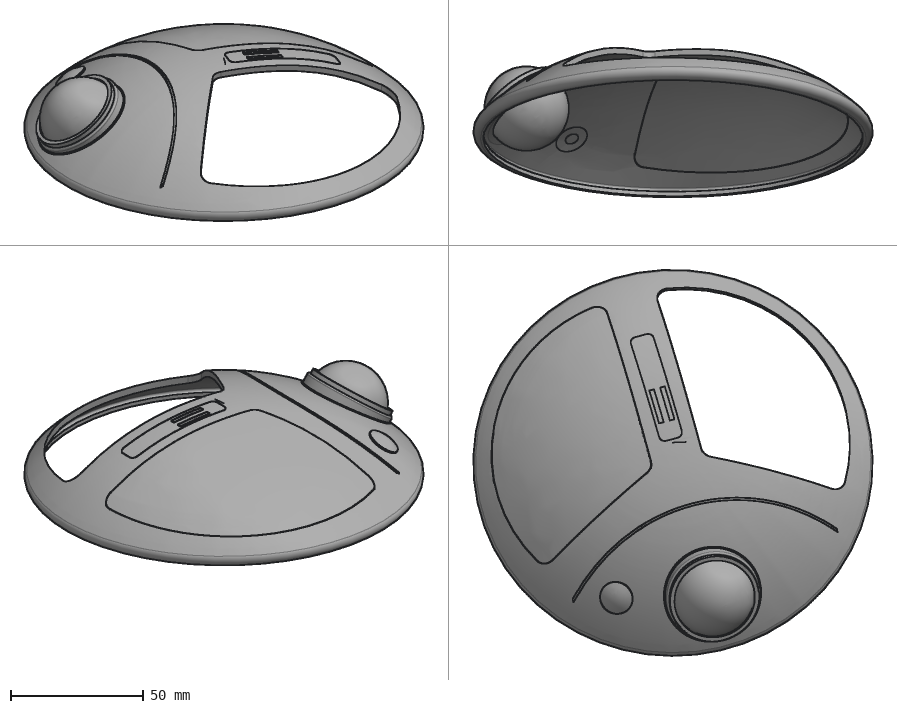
import cadquery as cq
import math

DOME_HEIGHT = 32.2
OUTER_RADIUS = 75.5
RIM_ROUND = 2.65
WALL = 2.4
CROWN_SPREAD = 5.5
MID_ANGLE = math.radians(21.5)

LIP_RADIUS = 71.8
LIP_HEIGHT = 1.8

SECTOR_RADIUS = 61.2
SECTOR_CENTER_X = 6.8
SECTOR_CENTER_Y = 3.5
SECTOR_INSET = 9.8
SECTOR_SLANT = math.radians(25)
SLANT_OFFSET = 2.7
SECTOR_FILLET = 4.5
PANEL_GAP = 0.2
SECTOR_TURN = -0.6

STRIP_WIDTH = 8.9
STRIP_START = 1.4
STRIP_END = 45.8
STRIP_FILLET = 2.3
STRIP_DEPTH = 0.2
SLOT_WIDTH = 1.8
SLOT_SPACING = 4.2
SLOT_START = 8.8
SLOT_END = 22.5
SLOT_DEPTH = 0.38

GROOVE_RADIUS = 80.0
GROOVE_X = 0.5
GROOVE_CREST = -24.3
GROOVE_WIDTH = 0.9
GROOVE_DEPTH = 0.3
GROOVE_HALF_SPAN = 51.8

BALL_RADIUS = 16.0
BALL_X = -0.3
BALL_Y = -57.0
COLLAR_TILT = math.radians(35.7)
PLINTH_RADIUS = 18.6
PLINTH_RISE = 0.3
FLANGE_RADIUS = 18.1
FLANGE_BOTTOM = -3.0
FLANGE_TOP = 3.6
FLANGE_ROUND = 0.8
COLLAR_RADIUS = 17.0
COLLAR_TOP = 5.6
BORE_RADIUS = 15.4

BUTTON_X = -35.7
BUTTON_Y = -48.6
BUTTON_RADIUS = 6.27
BUTTON_RISE = 0.5
BUTTON_CROWN = 1.7

RIM_CENTER = OUTER_RADIUS - RIM_ROUND
RIM_REACH = RIM_CENTER - CROWN_SPREAD
RIM_DROP = DOME_HEIGHT - RIM_ROUND
DOME_RADIUS = (RIM_REACH**2 + RIM_DROP**2 - RIM_ROUND**2) / (2 * (RIM_DROP - RIM_ROUND))
DOME_CENTER_Z = DOME_HEIGHT - DOME_RADIUS
RIM_ANGLE = math.atan2(RIM_REACH, RIM_ROUND - DOME_CENTER_Z)

INNER_RADIUS = DOME_RADIUS - WALL
LIP_REACH = LIP_RADIUS - CROWN_SPREAD
LIP_RISE = LIP_HEIGHT - DOME_CENTER_Z
LIP_FILLET = (INNER_RADIUS**2 - LIP_REACH**2 - LIP_RISE**2) / (2 * (LIP_RISE + INNER_RADIUS))
LIP_ANGLE = math.atan2(LIP_REACH, LIP_RISE + LIP_FILLET)


def dome_point(angle, depth):
    """Point (r, z) at a slope angle on the dome, set a depth below its outer surface."""
    radius = DOME_RADIUS - depth
    return (CROWN_SPREAD + radius * math.sin(angle), DOME_CENTER_Z + radius * math.cos(angle))


def close_under_dome(profile, end_angle, depth):
    """Run the dome curve from its foot, where the profile ends, up to the axis and revolve."""
    foot_tangent = (-math.cos(end_angle), math.sin(end_angle))
    return (
        profile.spline(
            [dome_point(MID_ANGLE, depth), (0, DOME_HEIGHT - depth)],
            tangents=[foot_tangent, (-1, 0)],
            includeCurrent=True,
        )
        .close()
        .revolve(360, (0, 0, 0), (0, 1, 0))
    )


def outer_dome():
    profile = (
        cq.Workplane("XZ")
        .lineTo(RIM_CENTER, 0)
        .threePointArc((OUTER_RADIUS, RIM_ROUND), dome_point(RIM_ANGLE, 0))
    )
    return close_under_dome(profile, RIM_ANGLE, 0)


def cavity():
    arc_middle = (math.pi + LIP_ANGLE) / 2
    fillet_middle = (
        LIP_RADIUS + LIP_FILLET * math.sin(arc_middle),
        LIP_HEIGHT + LIP_FILLET + LIP_FILLET * math.cos(arc_middle),
    )
    profile = (
        cq.Workplane("XZ")
        .lineTo(LIP_RADIUS, 0)
        .lineTo(LIP_RADIUS, LIP_HEIGHT)
        .threePointArc(fillet_middle, dome_point(LIP_ANGLE, WALL))
    )
    return close_under_dome(profile, LIP_ANGLE, WALL)


def dome_core(depth):
    """The dome without its rim, with its surface lowered by a depth."""
    foot_radius, foot_z = dome_point(RIM_ANGLE, depth)
    profile = cq.Workplane("XZ").lineTo(foot_radius, 0).lineTo(foot_radius, foot_z)
    return close_under_dome(profile, RIM_ANGLE, depth)


def sector_prism(inset=0):
    """Upright prism with the outline of the right-hand opening, before its turn, inset all around."""
    radius = SECTOR_RADIUS - inset
    side_x = SECTOR_INSET + inset
    slant_offset = SLANT_OFFSET - inset
    sin_slant = math.sin(SECTOR_SLANT)
    cos_slant = math.cos(SECTOR_SLANT)
    along_slant = SECTOR_CENTER_X * cos_slant - SECTOR_CENTER_Y * sin_slant
    above_slant = SECTOR_CENTER_X * sin_slant + SECTOR_CENTER_Y * cos_slant + slant_offset
    slant_length = along_slant + math.sqrt(radius**2 - above_slant**2)
    back_rise = math.sqrt(radius**2 - (SECTOR_CENTER_X - side_x) ** 2)
    inner_corner = (side_x, -(slant_offset + side_x * sin_slant) / cos_slant)
    back_corner = (side_x, SECTOR_CENTER_Y + back_rise)
    arc_middle = (SECTOR_CENTER_X + radius, SECTOR_CENTER_Y)
    front_corner = (
        slant_length * cos_slant - slant_offset * sin_slant,
        -slant_length * sin_slant - slant_offset * cos_slant,
    )
    return (
        cq.Workplane("XY")
        .moveTo(*inner_corner)
        .lineTo(*back_corner)
        .threePointArc(arc_middle, front_corner)
        .close()
        .extrude(DOME_HEIGHT)
        .edges("|Z")
        .fillet(SECTOR_FILLET - inset)
    )


def turned(sector):
    return sector.rotate((0, 0, 0), (0, 0, 1), SECTOR_TURN)


def strip_cut():
    strip = (
        cq.Workplane("XY")
        .center(0, (STRIP_START + STRIP_END) / 2)
        .rect(STRIP_WIDTH, STRIP_END - STRIP_START)
        .extrude(DOME_HEIGHT)
        .edges("|Z")
        .fillet(STRIP_FILLET)
        .cut(dome_core(STRIP_DEPTH))
    )
    slots = (
        cq.Workplane("XY")
        .center(0, (SLOT_START + SLOT_END) / 2)
        .rarray(SLOT_SPACING, 1.5, 2, 1)
        .rect(SLOT_WIDTH, SLOT_END - SLOT_START)
        .extrude(DOME_HEIGHT)
        .cut(dome_core(SLOT_DEPTH))
    )
    return strip.union(slots)


def groove_cut():
    center_y = GROOVE_CREST - GROOVE_RADIUS
    ring = (
        cq.Workplane("XY")
        .center(GROOVE_X, center_y)
        .circle(GROOVE_RADIUS)
        .circle(GROOVE_RADIUS - GROOVE_WIDTH)
        .extrude(DOME_HEIGHT)
    )
    span = (
        cq.Workplane("XY")
        .box(2 * GROOVE_HALF_SPAN, GROOVE_RADIUS, DOME_HEIGHT, centered=(True, False, False))
        .translate((GROOVE_X, center_y, 0))
    )
    return ring.intersect(span).cut(dome_core(GROOVE_DEPTH))


def collar_plane():
    return cq.Plane(
        origin=(BALL_X, BALL_Y, BALL_RADIUS),
        xDir=(1, 0, 0),
        normal=(0, -math.sin(COLLAR_TILT), math.cos(COLLAR_TILT)),
    )


def collar():
    """Flange with a rounded shoulder and a narrower collar, clipped to the inside of the dome wall."""
    top_face = cq.selectors.DirectionMinMaxSelector(collar_plane().zDir, True)
    flange = (
        cq.Workplane(collar_plane())
        .workplane(offset=FLANGE_BOTTOM)
        .circle(FLANGE_RADIUS)
        .extrude(FLANGE_TOP - FLANGE_BOTTOM)
        .faces(top_face)
        .edges()
        .fillet(FLANGE_ROUND)
    )
    neck = cq.Workplane(collar_plane()).circle(COLLAR_RADIUS).extrude(COLLAR_TOP)
    plinth = (
        cq.Workplane(collar_plane())
        .workplane(offset=FLANGE_BOTTOM)
        .circle(PLINTH_RADIUS)
        .extrude(FLANGE_TOP - FLANGE_BOTTOM)
        .intersect(dome_core(-PLINTH_RISE))
    )
    return flange.union(neck).union(plinth).cut(cavity())


def collar_bore():
    return cq.Workplane(collar_plane()).circle(BORE_RADIUS).extrude(COLLAR_TOP)


def make_ball():
    return cq.Workplane(collar_plane()).sphere(BALL_RADIUS)


def make_button():
    """Round plug through the dome wall, square to the dome, with a domed top."""
    reach = math.hypot(BUTTON_X, BUTTON_Y)
    slope = math.asin((reach - CROWN_SPREAD) / DOME_RADIUS)
    surface_z = dome_point(slope, 0)[1]
    outward = (
        math.sin(slope) * BUTTON_X / reach,
        math.sin(slope) * BUTTON_Y / reach,
        math.cos(slope),
    )
    plane = cq.Plane(origin=(BUTTON_X, BUTTON_Y, surface_z), normal=outward)
    crown_radius = (BUTTON_RADIUS**2 + BUTTON_CROWN**2) / (2 * BUTTON_CROWN)
    crown_center = BUTTON_RISE + BUTTON_CROWN - crown_radius
    crown = cq.Workplane(plane).workplane(offset=crown_center).sphere(crown_radius)
    return (
        cq.Workplane(plane)
        .workplane(offset=-WALL)
        .circle(BUTTON_RADIUS)
        .extrude(WALL + BUTTON_RISE + BUTTON_CROWN)
        .intersect(crown)
    )


def make_window_panel():
    """Curved panel that fills the left opening flush with the dome, inside a thin gap."""
    outline = turned(sector_prism(PANEL_GAP).mirror("YZ"))
    return outline.intersect(outer_dome()).cut(cavity())


def make_shell(ball, button):
    sectors = turned(sector_prism().union(sector_prism().mirror("YZ")))
    return (
        outer_dome()
        .cut(cavity())
        .union(collar())
        .cut(collar_bore())
        .cut(sectors)
        .cut(strip_cut())
        .cut(groove_cut())
        .cut(ball)
        .cut(button)
    )


ball = make_ball()
button = make_button()
window_panel = make_window_panel()
shell = make_shell(ball, button)

result = cq.Compound.makeCompound([shell.val(), window_panel.val(), ball.val(), button.val()])